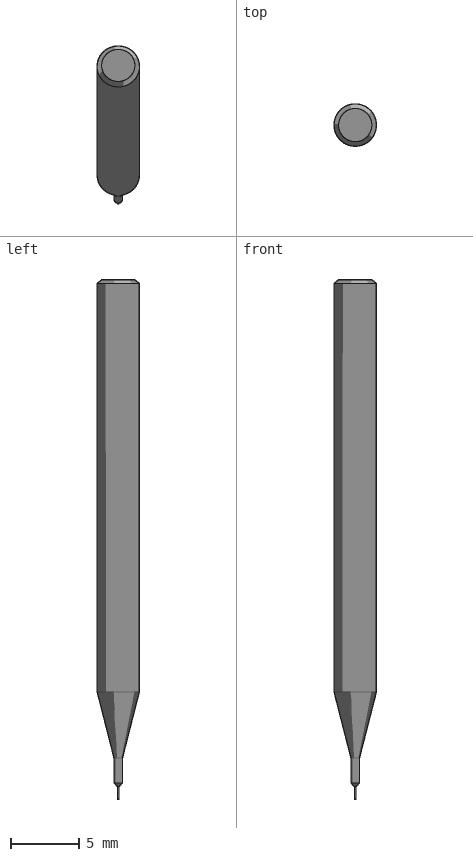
import cadquery as cq

total_length = 38.0
cone_top = 7.85
neck_top = 3.05
neck_bottom = 1.2
cutter_length = 0.9

shank_diameter = 3.1
neck_diameter = 0.65
cutter_diameter = 0.1

bevel_width = 0.35
bevel_height = 0.25

shank_radius = shank_diameter / 2
neck_radius = neck_diameter / 2
cutter_radius = cutter_diameter / 2


def make_shank():
    """Shank with bevelled back end, long cone, neck and short cone down to the cutter."""
    half_profile = [
        (0, cutter_length),
        (cutter_radius, cutter_length),
        (neck_radius, neck_bottom),
        (neck_radius, neck_top),
        (shank_radius, cone_top),
        (shank_radius, total_length - bevel_height),
        (shank_radius - bevel_width, total_length),
        (0, total_length),
    ]
    return cq.Workplane("XZ").polyline(half_profile).close().revolve(360, (0, 0), (0, 1))


def make_cutter():
    """Thin cylindrical cutting tip that meets the end of the short cone."""
    return cq.Workplane("XY").circle(cutter_radius).extrude(cutter_length)


shank = make_shank()
cutter = make_cutter()

result = cq.Compound.makeCompound([shank.val(), cutter.val()])